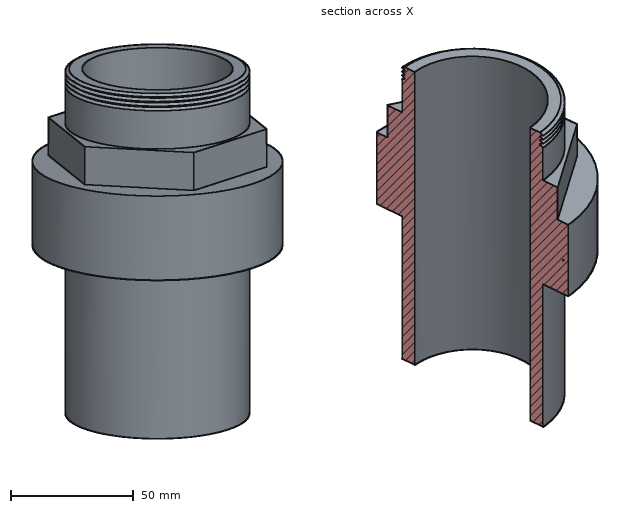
import cadquery as cq
import math

total_height = 146.0
collar_bottom = 71.0
collar_top = 106.9
hex_top = 123.0

pipe_diameter = 75.2
collar_diameter = 102.0
bore_diameter = 61.3
hex_across_flats = 78.4
collar_chamfer = 0.3

groove_count = 4
thread_length = 6.9
groove_pitch = thread_length / (groove_count - 0.5)
thread_depth = 1.6


def cylinder(diameter, bottom, top):
    return cq.Workplane("XY").workplane(offset=bottom).circle(diameter / 2).extrude(top - bottom)


def hexagon():
    """Wrench hexagon with two flats facing +X and -X."""
    corner_diameter = hex_across_flats / math.cos(math.pi / 6)
    prism = cq.Workplane("XY").polygon(6, corner_diameter).extrude(hex_top - collar_top)
    return prism.rotate((0, 0, 0), (0, 0, 1), 30).translate((0, 0, collar_top))


def threaded_neck():
    """Neck revolved from a profile whose upper end is a row of V grooves."""
    crest_radius = pipe_diameter / 2
    root_radius = crest_radius - thread_depth
    profile = [(0, hex_top), (crest_radius, hex_top)]
    for index in reversed(range(groove_count)):
        root_height = total_height - index * groove_pitch
        profile.append((crest_radius, root_height - groove_pitch / 2))
        profile.append((root_radius, root_height))
    profile.append((0, total_height))
    return cq.Workplane("XZ").polyline(profile).close().revolve(360, (0, 0), (0, 1))


pipe = cylinder(pipe_diameter, 0, collar_bottom)
collar = cylinder(collar_diameter, collar_bottom, collar_top).faces("<Z").chamfer(collar_chamfer)
bore = cylinder(bore_diameter, 0, total_height)

result = pipe.union(collar).union(hexagon()).union(threaded_neck()).cut(bore)